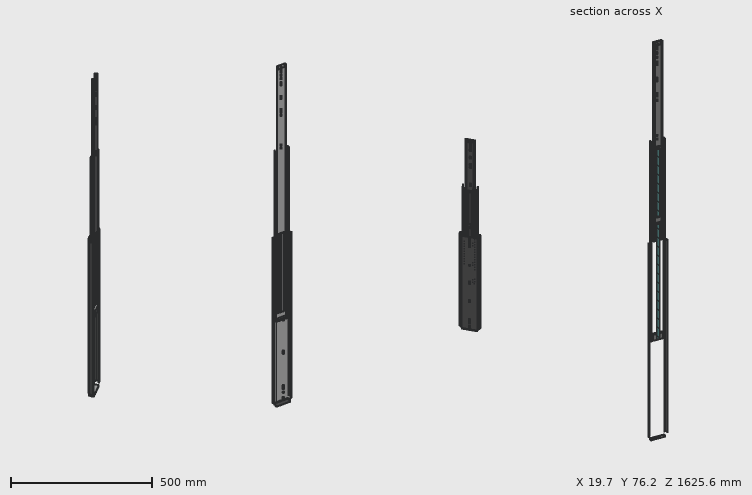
import cadquery as cq

RAIL_LENGTH = 812.8
TRAVEL = RAIL_LENGTH / 2
SHEET = 2.0
THICKNESS = 19.05

OUTER_HALF_WIDTH = 38.1
OUTER_WEB_HALF = 29.5
OUTER_RACE_HALF = 36.7
OUTER_RACE_START = 5.0
OUTER_RACE_END = 16.5
OUTER_LIP_HALF = 28.5
OUTER_RACE_TRIM = 8.0
TAB_HALF_WIDTH = 28.0
TAB_LENGTH = 17.0
LIP_HEIGHT = 4.5

MIDDLE_BACK = 4.0
MIDDLE_HALF_WIDTH = 27.5
MIDDLE_BEND = 3.0
SHOULDER_HALF_WIDTH = 19.0
SHOULDER_STEP = 1.0
RACE_START = 8.5
RACE_END = 14.0
RACE_DEPTH = 1.0
MIDDLE_BOTTOM = TRAVEL
MIDDLE_OVERLENGTH = 3.5
MIDDLE_TOP = MIDDLE_BOTTOM + RAIL_LENGTH + MIDDLE_OVERLENGTH
TROUGH_HALF_WIDTH = 11.0
TROUGH_FLOOR_HALF = 5.0
TROUGH_DEPTH = 3.0
TOP_NOTCH_DEPTH = 22.0
RELIEF_HEIGHT = 6.0
TOP_STRIP_HEIGHT = 3.0
RELIEF_DEPTH = 2.0

INNER_BACK = 8.0
INNER_HALF_WIDTH = 17.5
INNER_LIP_HALF = 12.0
INNER_BEND = 1.5
INNER_RACE_START = 10.0
INNER_RACE_END = 14.5
INNER_BOTTOM = RAIL_LENGTH
INNER_TOP = INNER_BOTTOM + RAIL_LENGTH
END_PAD_HEIGHT = 15.0
END_PAD_THICKNESS = 3.0

WINDOW_BOTTOM = 882.0
WINDOW_HEIGHT = 26.0
WINDOW_HALF_WIDTH = 10.0
LATCH_HEIGHT = 6.0

BUMPER_BOTTOM = MIDDLE_BOTTOM
BUMPER_HEIGHT = 24.0
BUMPER_HALF_WIDTH = 19.0
BUMPER_FRONT = 19.7

SLOT_WIDTH = 5.5
SHORT_SLOT = 8.0
MEDIUM_SLOT = 12.0
LONG_SLOT = 16.0
EXTRA_LONG_SLOT = 21.0
OUTER_SLOTS = [
    (12.3, SHORT_SLOT),
    (31.9, SHORT_SLOT),
    (58.6, SLOT_WIDTH),
    (83.3, EXTRA_LONG_SLOT),
    (252.2, LONG_SLOT),
    (406.6, SLOT_WIDTH),
    (421.1, SLOT_WIDTH),
    (565.6, SHORT_SLOT),
    (729.6, MEDIUM_SLOT),
    (758.6, MEDIUM_SLOT),
    (780.6, SHORT_SLOT),
    (798.1, SLOT_WIDTH),
]
INNER_SLOTS = [
    (1224.1, SLOT_WIDTH),
    (1239.1, SLOT_WIDTH),
    (1383.6, SHORT_SLOT),
    (1405.6, LONG_SLOT),
    (1468.6, LONG_SLOT),
    (1534.6, LONG_SLOT),
    (1559.6, SLOT_WIDTH),
    (1576.6, SHORT_SLOT),
    (1596.1, MEDIUM_SLOT),
    (1613.3, SHORT_SLOT),
]
MIDDLE_SLOTS = [
    (WINDOW_BOTTOM + WINDOW_HEIGHT, SHORT_SLOT),
    (MIDDLE_TOP - TOP_NOTCH_DEPTH - SHORT_SLOT, SHORT_SLOT),
]


def block(x_min, x_max, half_width, z_min, z_max):
    """A box centred on Y = 0."""
    return (
        cq.Workplane("XY")
        .box(x_max - x_min, 2 * half_width, z_max - z_min, centered=(False, True, False))
        .translate((x_min, 0, z_min))
    )


def both_sides(half_section, z_min, length):
    """Extrude a half section lying on Y >= 0 and join it to its mirror image."""
    half = half_section.extrude(length).translate((0, 0, z_min))
    return half.union(half.mirror("XZ")).clean()


def web_slots(slots):
    """Cutters through the thickness for a column of slots and round holes."""
    cutters = cq.Workplane("YZ")
    for height, length in slots:
        sketch = cq.Workplane("YZ").center(0, height)
        if length > SLOT_WIDTH:
            sketch = sketch.slot2D(length, SLOT_WIDTH, 90)
        else:
            sketch = sketch.circle(SLOT_WIDTH / 2)
        cutters = cutters.add(sketch.extrude(THICKNESS))
    return cutters.combine()


def make_outer_rail():
    race_middle = (OUTER_RACE_START + OUTER_RACE_END) / 2
    lip_back = THICKNESS - SHEET
    section = (
        cq.Workplane("XY")
        .lineTo(0, OUTER_WEB_HALF)
        .lineTo(OUTER_RACE_START, OUTER_RACE_HALF)
        .threePointArc((race_middle, OUTER_HALF_WIDTH), (OUTER_RACE_END, OUTER_RACE_HALF))
        .lineTo(THICKNESS, OUTER_RACE_HALF - SHEET)
        .lineTo(THICKNESS, OUTER_LIP_HALF)
        .lineTo(lip_back, OUTER_LIP_HALF)
        .lineTo(lip_back, OUTER_RACE_HALF - SHEET)
        .lineTo(OUTER_RACE_END, OUTER_RACE_HALF - SHEET)
        .threePointArc(
            (race_middle, OUTER_HALF_WIDTH - SHEET),
            (OUTER_RACE_START + SHEET, OUTER_RACE_HALF - SHEET),
        )
        .lineTo(SHEET, OUTER_WEB_HALF - SHEET / 2)
        .lineTo(SHEET, 0)
        .close()
    )
    rail = both_sides(section, TAB_LENGTH, RAIL_LENGTH - TAB_LENGTH)
    trim = block(
        OUTER_RACE_START + SHEET,
        THICKNESS,
        OUTER_HALF_WIDTH,
        RAIL_LENGTH - OUTER_RACE_TRIM,
        RAIL_LENGTH,
    )
    tab = block(0, SHEET, TAB_HALF_WIDTH, 0, TAB_LENGTH)
    lip = block(0, THICKNESS, TAB_HALF_WIDTH, 0, LIP_HEIGHT)
    hook = tab.union(lip).edges("|Y and <X and <Z").fillet(SHEET)
    return rail.cut(trim).union(hook).cut(web_slots(OUTER_SLOTS))


def make_middle_rail():
    web_front = MIDDLE_BACK + SHEET
    shoulder_back = MIDDLE_BACK + SHOULDER_STEP
    floor_back = MIDDLE_BACK + TROUGH_DEPTH
    inside_half = MIDDLE_HALF_WIDTH - SHEET
    section = (
        cq.Workplane("XY")
        .moveTo(floor_back, 0)
        .lineTo(floor_back, TROUGH_FLOOR_HALF)
        .lineTo(MIDDLE_BACK, TROUGH_HALF_WIDTH)
        .lineTo(MIDDLE_BACK, SHOULDER_HALF_WIDTH)
        .lineTo(shoulder_back, SHOULDER_HALF_WIDTH)
        .lineTo(shoulder_back, MIDDLE_HALF_WIDTH - MIDDLE_BEND)
        .lineTo(shoulder_back + MIDDLE_BEND, MIDDLE_HALF_WIDTH)
        .lineTo(RACE_START, MIDDLE_HALF_WIDTH)
        .threePointArc(
            ((RACE_START + RACE_END) / 2, MIDDLE_HALF_WIDTH - RACE_DEPTH),
            (RACE_END, MIDDLE_HALF_WIDTH),
        )
        .lineTo(THICKNESS, MIDDLE_HALF_WIDTH)
        .lineTo(THICKNESS, inside_half)
        .lineTo(shoulder_back + MIDDLE_BEND + SHEET / 2, inside_half)
        .lineTo(shoulder_back + SHEET, inside_half - MIDDLE_BEND + SHEET / 2)
        .lineTo(shoulder_back + SHEET, SHOULDER_HALF_WIDTH - SHEET)
        .lineTo(web_front, SHOULDER_HALF_WIDTH - SHEET)
        .lineTo(web_front, TROUGH_HALF_WIDTH)
        .lineTo(floor_back + SHEET, TROUGH_FLOOR_HALF)
        .lineTo(floor_back + SHEET, 0)
        .close()
    )
    rail = both_sides(section, MIDDLE_BOTTOM, MIDDLE_TOP - MIDDLE_BOTTOM)
    top_notch = block(
        MIDDLE_BACK,
        THICKNESS,
        TROUGH_HALF_WIDTH,
        MIDDLE_TOP - TOP_NOTCH_DEPTH,
        MIDDLE_TOP,
    )
    relief = block(
        MIDDLE_BACK,
        MIDDLE_BACK + RELIEF_DEPTH,
        MIDDLE_HALF_WIDTH,
        MIDDLE_TOP - RELIEF_HEIGHT - TOP_STRIP_HEIGHT,
        MIDDLE_TOP - TOP_STRIP_HEIGHT,
    )
    window = block(
        MIDDLE_BACK,
        THICKNESS,
        WINDOW_HALF_WIDTH,
        WINDOW_BOTTOM,
        WINDOW_BOTTOM + WINDOW_HEIGHT,
    )
    return rail.cut(top_notch).cut(relief).cut(window).cut(web_slots(MIDDLE_SLOTS))


def make_inner_rail():
    section = (
        cq.Workplane("XY")
        .moveTo(THICKNESS, 0)
        .lineTo(THICKNESS, INNER_HALF_WIDTH)
        .lineTo(INNER_RACE_END, INNER_HALF_WIDTH)
        .threePointArc(
            ((INNER_RACE_START + INNER_RACE_END) / 2, INNER_HALF_WIDTH - RACE_DEPTH),
            (INNER_RACE_START, INNER_HALF_WIDTH),
        )
        .lineTo(INNER_BACK, INNER_HALF_WIDTH - INNER_BEND)
        .lineTo(INNER_BACK, INNER_LIP_HALF)
        .lineTo(INNER_BACK + SHEET, INNER_LIP_HALF)
        .lineTo(INNER_BACK + SHEET, INNER_HALF_WIDTH - SHEET)
        .lineTo(THICKNESS - SHEET, INNER_HALF_WIDTH - SHEET)
        .lineTo(THICKNESS - SHEET, 0)
        .close()
    )
    rail = both_sides(section, INNER_BOTTOM, RAIL_LENGTH)
    end_pad = block(
        THICKNESS - SHEET - END_PAD_THICKNESS,
        THICKNESS,
        INNER_LIP_HALF,
        INNER_TOP - END_PAD_HEIGHT,
        INNER_TOP,
    )
    return rail.union(end_pad).cut(web_slots(INNER_SLOTS))


def make_latch():
    return block(
        MIDDLE_BACK,
        MIDDLE_BACK + TROUGH_DEPTH + SHEET,
        WINDOW_HALF_WIDTH,
        WINDOW_BOTTOM,
        WINDOW_BOTTOM + LATCH_HEIGHT,
    )


def make_bumper():
    return block(
        MIDDLE_BACK + TROUGH_DEPTH + SHEET,
        BUMPER_FRONT,
        BUMPER_HALF_WIDTH,
        BUMPER_BOTTOM,
        BUMPER_BOTTOM + BUMPER_HEIGHT,
    )


outer_rail = make_outer_rail()
middle_rail = make_middle_rail()
inner_rail = make_inner_rail()
latch = make_latch()
bumper = make_bumper()

result = cq.Compound.makeCompound(
    [
        outer_rail.val(),
        middle_rail.val(),
        inner_rail.val(),
        latch.val(),
        bumper.val(),
    ]
)